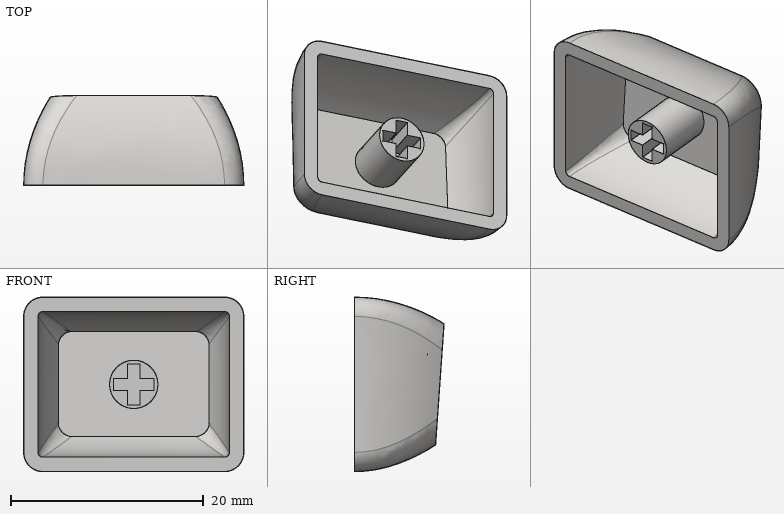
import cadquery as cq
import math

BASE_WIDTH = 22.83
BASE_LENGTH = 18.1
BASE_CORNER_RADIUS = 2.0

CROWN_INSET = 2.75
CROWN_CORNER_RADIUS = 2.75
CROWN_TILT = 4.0
CAP_HEIGHT = 9.31
SECTION_RISES = (0, 0.25, 0.5, 0.75, 1)

WALL = 1.5

STEM_DIAMETER = 5.0
STEM_RECESS = 1.0
CROSS_SPAN = 4.25
CROSS_ARM = 1.25
SOCKET_DEPTH = 4.0

crown_half_length = BASE_LENGTH / 2 - CROWN_INSET
crown_center_height = CAP_HEIGHT - crown_half_length * math.sin(math.radians(CROWN_TILT))


def wall_section(rise):
    """Rounded rectangle of the outside, at a fraction of the way from the rim to the crown.

    The inset and the corner radius grow with the square of the rise, so the walls leave the
    rim square to it and curve inwards; the tilt grows evenly.
    """
    inset = CROWN_INSET * rise**2
    radius = BASE_CORNER_RADIUS + (CROWN_CORNER_RADIUS - BASE_CORNER_RADIUS) * rise**2
    outline = (
        cq.Sketch()
        .rect(BASE_WIDTH - 2 * inset, BASE_LENGTH - 2 * inset)
        .vertices()
        .fillet(radius)
    )
    center = cq.Vector(0, 0, -crown_center_height * rise)
    return outline.moved(cq.Location(center, cq.Vector(1, 0, 0), -CROWN_TILT * rise))


def make_cap():
    """Lofted shell of even wall thickness, open at the rim."""
    sections = [wall_section(rise) for rise in SECTION_RISES]
    solid_cap = cq.Workplane("XZ").placeSketch(*sections).loft()
    return solid_cap.faces("<Y").shell(-WALL)


def make_stem(cap):
    """Cylinder with a blind cross socket, its far end following the tilted floor of the cap."""
    end_face = cq.Workplane("XZ", origin=(0, STEM_RECESS, 0))
    middle_of_crown_wall = crown_center_height - WALL / 2
    stem = end_face.circle(STEM_DIAMETER / 2).extrude(STEM_RECESS - middle_of_crown_wall)
    for width, length in ((CROSS_SPAN, CROSS_ARM), (CROSS_ARM, CROSS_SPAN)):
        stem = stem.cut(end_face.rect(width, length).extrude(-SOCKET_DEPTH))
    return stem.cut(cap).solids()


cap = make_cap()
stem = make_stem(cap)

result = cq.Compound.makeCompound([cap.val(), stem.val()])